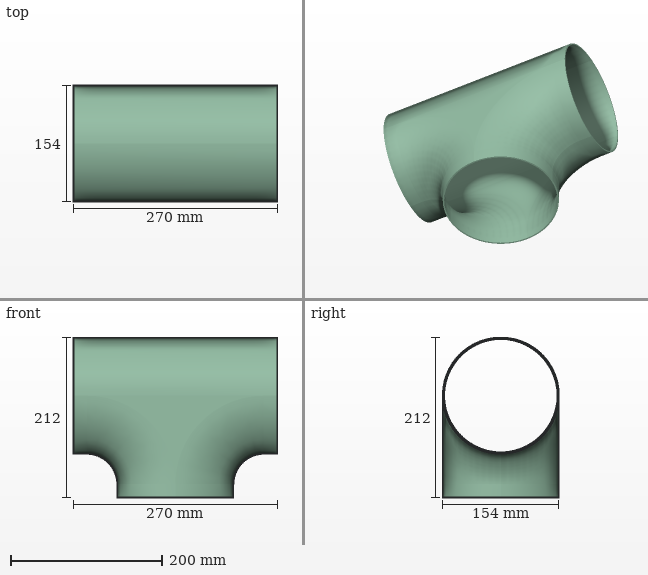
import cadquery as cq
import math

outer_diameter = 154.0
wall = 2.0
run_length = 270.0
collar_length = 18.0

outer_radius = outer_diameter / 2
bore_radius = outer_radius - wall
half_run = run_length / 2
branch_drop = half_run
bend_radius = half_run - collar_length


def quarter_ring(plane, x_side, y_side):
    """Quarter of the pipe wall section in the chosen quadrant of the plane."""
    diagonal = math.sqrt(0.5)
    outer_mid = outer_radius * diagonal
    bore_mid = bore_radius * diagonal
    return (
        cq.Workplane(plane)
        .moveTo(x_side * outer_radius, 0)
        .threePointArc((x_side * outer_mid, y_side * outer_mid), (0, y_side * outer_radius))
        .lineTo(0, y_side * bore_radius)
        .threePointArc((x_side * bore_mid, y_side * bore_mid), (x_side * bore_radius, 0))
        .close()
    )


def run_section_plane(x):
    """Plane across the run with local x along +Y and local y along +Z."""
    return cq.Plane(origin=(x, 0, 0), xDir=(0, 1, 0), normal=(1, 0, 0))


def run_upper_wall():
    return quarter_ring(run_section_plane(-half_run), -1, 1).extrude(run_length)


def run_collar():
    return quarter_ring(run_section_plane(-half_run), -1, -1).extrude(collar_length)


def bend():
    """Inner side of the elbow that sweeps from the run collar down to the branch collar."""
    axis_start = (0, -bend_radius)
    axis_end = (1, -bend_radius)
    return quarter_ring(run_section_plane(-bend_radius), -1, -1).revolve(90, axis_start, axis_end)


def branch_collar():
    plane = cq.Plane(origin=(0, 0, -branch_drop), xDir=(1, 0, 0), normal=(0, 0, 1))
    return quarter_ring(plane, -1, -1).extrude(collar_length)


def side_web():
    """Flat side wall between the run and the centrelines of the two bends."""
    arc_mid = bend_radius * (1 - math.sqrt(0.5))
    return (
        cq.Workplane("XZ", origin=(0, -bore_radius, 0))
        .moveTo(-bend_radius, 0)
        .threePointArc((-arc_mid, -arc_mid), (0, -bend_radius))
        .threePointArc((arc_mid, -arc_mid), (bend_radius, 0))
        .close()
        .extrude(wall)
    )


def join(parts):
    """Union of touching pieces, keeping the lines where their tangent faces meet."""
    body = parts[0]
    for part in parts[1:]:
        body = body.union(part, clean=False)
    return body


def front_half():
    """Everything on the -Y side of the tee's symmetry plane."""
    lower_left = join([run_collar(), bend(), branch_collar()])
    lower_right = lower_left.mirror("YZ")
    return join([run_upper_wall(), side_web(), lower_left, lower_right])


half = front_half()
result = join([half, half.mirror("XZ")])